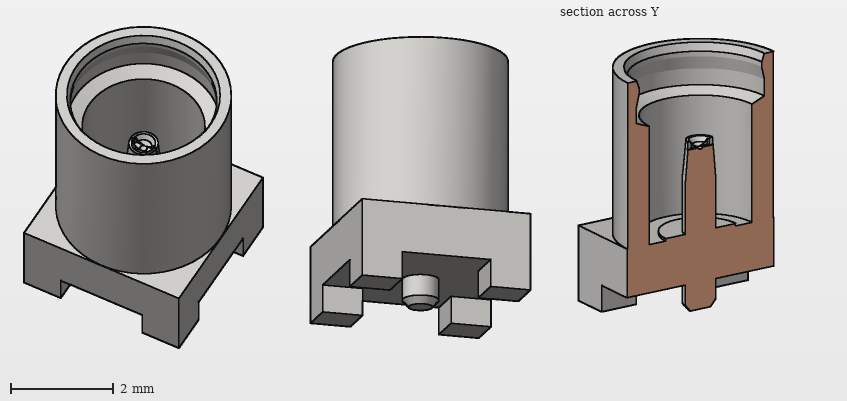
import cadquery as cq

base_side = 3.45
leg_height = 0.55
leg_gap = 1.81
base_top = 1.56

barrel_radius = 1.72
rim_z = 5.0

mouth_radius = 1.5
throat_radius = 1.435
groove_radius = 1.5
bore_radius = 1.205
throat_top_depth = 0.165
throat_bottom_depth = 0.27
groove_top_depth = 0.54
groove_bottom_depth = 0.88
seat_depth = 0.995
bore_floor_z = base_top

insulator_radius = 0.825
insulator_step = 0.05

contact_radius = 0.36
contact_bottom_z = -0.01
contact_top_depth = 1.5
tail_tip_radius = 0.235
tail_chamfer_height = 0.14
head_tip_radius = 0.287
head_taper_height = 0.8

socket_mouth_radius = 0.235
socket_point_radius = 0.165
lead_in_depth = 0.1
socket_depth = 0.2
slot_width = 0.135
slot_end_radius = 0.213
slit_width = 0.02
dimple_radius = 0.07


def revolve_profile(points):
    """Revolve a closed outline of (radius, z) points about the Z axis."""
    return cq.Workplane("XZ").polyline(points).close().revolve(360, (0, 0, 0), (0, 1, 0))


def cylinder(radius, z_bottom, z_top):
    return cq.Workplane("XY").workplane(offset=z_bottom).circle(radius).extrude(z_top - z_bottom)


def centred_box(x_size, y_size, z_bottom, z_top):
    return cq.Workplane("XY").workplane(offset=z_bottom).rect(x_size, y_size).extrude(z_top - z_bottom)


def make_base():
    """Square block with two crossing channels underneath, leaving four corner legs."""
    block = centred_box(base_side, base_side, 0, base_top)
    channel_x = centred_box(base_side, leg_gap, 0, leg_height)
    channel_y = channel_x.rotate((0, 0, 0), (0, 0, 1), 90)
    return block.cut(channel_x).cut(channel_y)


def make_bore():
    """Bore with a tapered mouth, a throat, a snap groove and a conical seat."""
    return revolve_profile([
        (0, rim_z),
        (mouth_radius, rim_z),
        (throat_radius, rim_z - throat_top_depth),
        (throat_radius, rim_z - throat_bottom_depth),
        (groove_radius, rim_z - groove_top_depth),
        (groove_radius, rim_z - groove_bottom_depth),
        (bore_radius, rim_z - seat_depth),
        (bore_radius, bore_floor_z),
        (0, bore_floor_z),
    ])


def make_socket(top_z):
    """Conical socket with a round-ended slot; the point of the cone stays as a dimple.

    The slit runs along the slot, at the same depth, out through both sides of the head.
    """
    cone_top_z = top_z - lead_in_depth
    point_z = top_z - socket_depth
    cone = revolve_profile([
        (0, top_z),
        (socket_mouth_radius, top_z),
        (socket_point_radius, cone_top_z),
        (0, point_z),
    ])
    slot_floor_z = point_z + (socket_depth - lead_in_depth) * dimple_radius / socket_point_radius
    slot_box = centred_box(2 * slot_end_radius, slot_width, slot_floor_z, top_z)
    slot = slot_box.intersect(cylinder(slot_end_radius, slot_floor_z, top_z))
    slit = centred_box(2 * contact_radius, slit_width, slot_floor_z, top_z)
    return cone.union(slot).union(slit)


def make_contact():
    """Centre pin with a chamfered tail and a tapered, hollowed and slit head."""
    top_z = rim_z - contact_top_depth
    pin = revolve_profile([
        (0, contact_bottom_z),
        (tail_tip_radius, contact_bottom_z),
        (contact_radius, contact_bottom_z + tail_chamfer_height),
        (contact_radius, top_z - head_taper_height),
        (head_tip_radius, top_z),
        (0, top_z),
    ])
    return pin.cut(make_socket(top_z))


barrel = cylinder(barrel_radius, base_top, rim_z)
shell = make_base().union(barrel).cut(make_bore())
insulator = cylinder(insulator_radius, leg_height, bore_floor_z + insulator_step)
result = shell.union(insulator).union(make_contact())